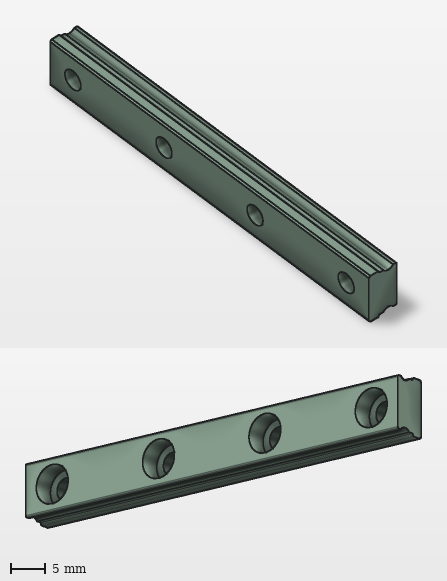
import math

import cadquery as cq

LENGTH = 70.0
HEIGHT = 5.5
WIDTH = 9.0

BASE_CHAMFER = 0.3
TOP_FILLET = 0.3
STEP_START = 1.7
STEP_INSET = 0.4
STEP_RADIUS = 0.25
GROOVE_MIDDLE = 3.8
GROOVE_WIDTH = 1.9
GROOVE_DEPTH = 0.48
GROOVE_RADIUS = 1.25

HOLE_COUNT = 4
HOLE_PITCH = 20.0
HOLE_DIAMETER = 3.5
COUNTERBORE_DIAMETER = 6.0
COUNTERBORE_DEPTH = 3.3


def rail_body():
    """Extrude the grooved cross-section, symmetric about Z = 0, along X."""
    foot_side = WIDTH / 2
    head_side = foot_side - STEP_INSET

    step_run = math.sqrt(STEP_INSET * (4 * STEP_RADIUS - STEP_INSET))
    step_end = STEP_START + step_run
    step_middle = (STEP_START + step_run / 2, foot_side - STEP_INSET / 2)

    groove_start = GROOVE_MIDDLE - GROOVE_WIDTH / 2
    groove_end = GROOVE_MIDDLE + GROOVE_WIDTH / 2
    groove_floor = (GROOVE_MIDDLE, head_side - GROOVE_DEPTH)

    half_section = (
        cq.Workplane("YZ", origin=(-LENGTH / 2, 0, 0))
        .moveTo(0, 0)
        .lineTo(0, foot_side - BASE_CHAMFER)
        .lineTo(BASE_CHAMFER, foot_side)
        .lineTo(STEP_START, foot_side)
        .radiusArc(step_middle, STEP_RADIUS)
        .radiusArc((step_end, head_side), -STEP_RADIUS)
        .lineTo(groove_start, head_side)
        .radiusArc(groove_floor, -GROOVE_RADIUS)
        .radiusArc((groove_end, head_side), -GROOVE_RADIUS)
        .lineTo(HEIGHT - TOP_FILLET, head_side)
        .radiusArc((HEIGHT, head_side - TOP_FILLET), TOP_FILLET)
        .lineTo(HEIGHT, 0)
        .close()
        .extrude(LENGTH)
    )
    return half_section.union(half_section.mirror("XY"))


def cut_mounting_holes(body):
    """Cut the row of counterbored through holes, centred along the rail."""
    return (
        body.faces(">Y")
        .workplane(origin=(0, HEIGHT, 0))
        .rarray(HOLE_PITCH, 1, HOLE_COUNT, 1)
        .cboreHole(HOLE_DIAMETER, COUNTERBORE_DIAMETER, COUNTERBORE_DEPTH)
    )


result = cut_mounting_holes(rail_body())